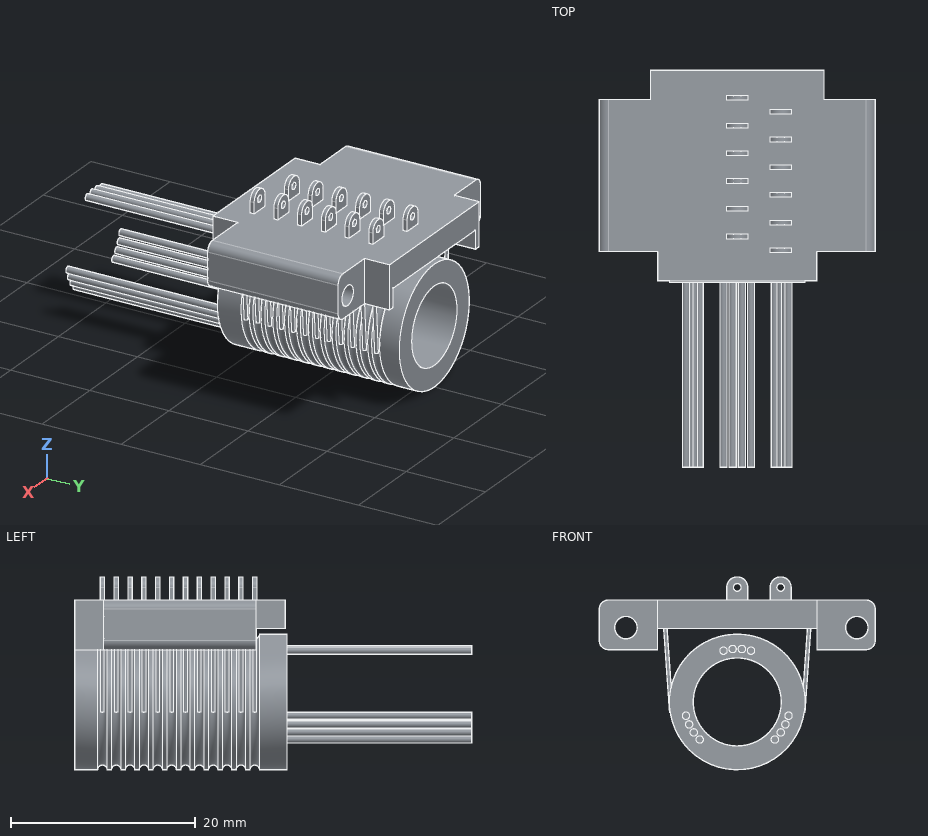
import cadquery as cq
import math


ring_diameter = 14.7
ring_bore = 9.5
ring_length = 23.0
ring_radius = ring_diameter / 2

track_count = 12
track_pitch = 1.5
first_track = 3.0
groove_radius = 0.5
track_positions = [-(first_track + i * track_pitch) for i in range(track_count)]

wire_diameter = 0.8
wire_length = 20.0
wire_circle_radius = 5.75
wire_step_angle = 10.0
wires_per_bundle = 4
bundle_angles = [90, 210, 330]

block_length = 22.8
plate_thickness = 3.1
plate_clearance = 0.6
front_width = 17.25
rear_width = 18.8
ear_span = 29.9
ear_height = 5.4
ear_length = 16.5
ear_edge_radius = 1.0
mount_hole_diameter = 2.4
mount_hole_spacing = 25.0
mount_hole_shift = 0.45
mount_hole_drop = 3.0
step_length = (block_length - ear_length) / 2
plate_bottom = ring_radius + plate_clearance
plate_top = plate_bottom + plate_thickness
ear_bottom = plate_top - ear_height

terminal_width = 2.3
terminal_height = 2.5
terminal_thickness = 0.5
terminal_hole = 0.8
terminal_row_offset = 4.7

brush_diameter = 0.4
brush_angle = 4.0
brush_root_x = 7.78
brush_tip_drop = 1.1
brush_root_embed = 0.5


def box(width, y_front, y_rear, z_low, z_high):
    """Box centred on X between the given Y and Z limits."""
    size_y = y_rear - y_front
    size_z = z_high - z_low
    return cq.Workplane("XY").box(width, size_y, size_z).translate(
        (0, (y_front + y_rear) / 2, (z_low + z_high) / 2)
    )


def make_rotor():
    """Grooved tube with the lead wires projecting from its front face."""
    front = -ring_length
    body = cq.Workplane("XZ").circle(ring_radius).circle(ring_bore / 2).extrude(ring_length)

    for y in track_positions:
        groove = cq.Solid.makeTorus(
            ring_radius, groove_radius, cq.Vector(0, y, 0), cq.Vector(0, 1, 0)
        )
        body = body.cut(cq.Workplane(groove))

    wire_centres = []
    for bundle_angle in bundle_angles:
        for i in range(wires_per_bundle):
            offset = (i - (wires_per_bundle - 1) / 2) * wire_step_angle
            angle = math.radians(bundle_angle + offset)
            wire_centres.append((wire_circle_radius * math.cos(angle), wire_circle_radius * math.sin(angle)))
    wires = (
        cq.Workplane("XZ", origin=(0, front, 0))
        .pushPoints(wire_centres)
        .circle(wire_diameter / 2)
        .extrude(wire_length)
    )
    return body.union(wires)


def make_block_body():
    """Stepped plate with two deeper, drilled ears and an open channel beneath."""
    ears = box(ear_span, -(block_length - step_length), -step_length, ear_bottom, plate_top)
    ears = ears.edges("|Y").fillet(ear_edge_radius)
    rear = box(rear_width, -step_length, 0, ear_bottom, plate_top)
    front = box(front_width, -block_length, -(block_length - step_length), plate_bottom, plate_top)
    channel = box(front_width, -block_length, 0, ear_bottom, plate_bottom)
    holes = (
        cq.Workplane("XZ", origin=(mount_hole_shift, 0, plate_top - mount_hole_drop))
        .pushPoints([(-mount_hole_spacing / 2, 0), (mount_hole_spacing / 2, 0)])
        .circle(mount_hole_diameter / 2)
        .extrude(block_length)
    )
    return ears.union(rear).union(front).cut(channel).cut(holes)


def make_terminal(x, y):
    """Round-topped solder tab with an eye concentric with its top."""
    radius = terminal_width / 2
    shoulder = terminal_height - radius
    return (
        cq.Workplane("XZ", origin=(x, y + terminal_thickness / 2, plate_top))
        .moveTo(-radius, 0)
        .lineTo(radius, 0)
        .lineTo(radius, shoulder)
        .threePointArc((0, terminal_height), (-radius, shoulder))
        .close()
        .moveTo(0, shoulder)
        .circle(terminal_hole / 2)
        .extrude(terminal_thickness)
    )


def make_brush(side, y):
    """Wire from inside the plate down past the rotor axis; side is -1 or 1."""
    lean = math.radians(brush_angle)
    root = cq.Vector(
        side * (brush_root_x + brush_root_embed * math.tan(lean)), y, plate_bottom + brush_root_embed
    )
    direction = cq.Vector(-side * math.sin(lean), 0, -math.cos(lean))
    length = (root.z + brush_tip_drop) / math.cos(lean)
    return cq.Workplane(cq.Solid.makeCylinder(brush_diameter / 2, length, root, direction))


def make_brush_block():
    """Block with one terminal and a pair of brushes at every track."""
    block = make_block_body()
    for i, y in enumerate(track_positions):
        row_x = terminal_row_offset * (i % 2)
        block = block.union(make_terminal(row_x, y))
        for side in (-1, 1):
            block = block.union(make_brush(side, y))
    return block


rotor = make_rotor()
brush_block = make_brush_block()
result = cq.Compound.makeCompound([rotor.solids().val(), brush_block.solids().val()])